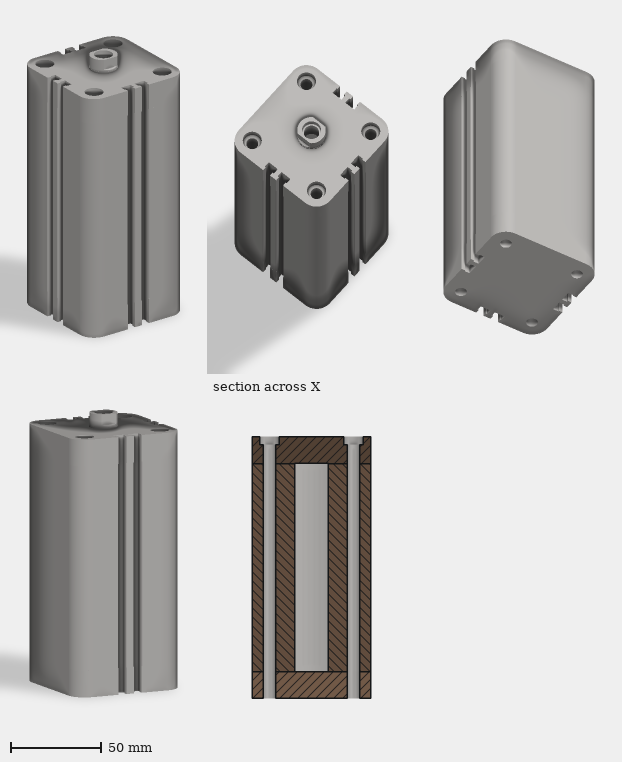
import cadquery as cq

side = 66.0
total_height = 153.0
housing_height = 144.9
cap_height = 15.0
corner_radius = 9.6
barrel_height = housing_height - 2 * cap_height
top_cap_base = housing_height - cap_height

slot_depth = 5.7
lip_thickness = 2.3
mouth_half_width = 7.2
floor_half_width = 7.8
rib_head_half_width = 2.3
rib_neck_half_width = 1.4
barrel_mouth_chamfer = 0.38
slotted_side_angles = (-90, 0, 90)

bolt_spacing = 46.5
bolt_hole_diameter = 6.6
bolt_recess_diameter = 10.5
bolt_recess_depth = 4.6

bore_diameter = 50.0
rod_diameter = 16.0
rod_tip_diameter = 15.8
rod_shoulder_height = 0.9
rod_hole_diameter = 8.5
rod_hole_depth = 15.3
rod_recess_diameter = 10.5
rod_recess_depth = 3.7

flat_spacing = 13.0
flat_height = 5.8
runout_height = 0.5


def cylinder(diameter, bottom_z, top_z):
    base = cq.Workplane("XY", origin=(0, 0, bottom_z))
    return base.circle(diameter / 2).extrude(top_z - bottom_z)


def bolt_cylinders(diameter, bottom_z, top_z):
    """Four cylinders on the corner bolt axes."""
    return (
        cq.Workplane("XY", origin=(0, 0, bottom_z))
        .rect(bolt_spacing, bolt_spacing, forConstruction=True)
        .vertices()
        .circle(diameter / 2)
        .extrude(top_z - bottom_z)
    )


def slot(bottom_z, height):
    """One undercut slot on the right half of the -Y side."""
    face = -side / 2
    lip = face + lip_thickness
    floor = face + slot_depth
    outline = [
        (rib_head_half_width, face),
        (mouth_half_width, face),
        (mouth_half_width, lip),
        (floor_half_width, lip),
        (floor_half_width, floor),
        (rib_neck_half_width, floor),
        (rib_neck_half_width, lip),
        (rib_head_half_width, lip),
    ]
    return cq.Workplane("XY", origin=(0, 0, bottom_z)).polyline(outline).close().extrude(height)


def mouth_chamfer(bottom_z, height):
    """Wedge that bevels both mouth edges of one slot."""
    face = -side / 2
    bevel = barrel_mouth_chamfer
    outline = [
        (rib_head_half_width - bevel, face),
        (mouth_half_width + bevel, face),
        (mouth_half_width, face + bevel),
        (rib_head_half_width, face + bevel),
    ]
    return cq.Workplane("XY", origin=(0, 0, bottom_z)).polyline(outline).close().extrude(height)


def cut_on_slotted_sides(block, cutter):
    """Cut the cutter and its mirror copy into every slotted side."""
    for half in (cutter, cutter.mirror("YZ")):
        for angle in slotted_side_angles:
            block = block.cut(half.rotate((0, 0, 0), (0, 0, 1), angle))
    return block


def make_section(bottom_z, height):
    """Slotted square section with rounded corners and bolt holes."""
    block = (
        cq.Workplane("XY", origin=(0, 0, bottom_z))
        .rect(side, side)
        .extrude(height)
        .edges("|Z")
        .fillet(corner_radius)
    )
    block = cut_on_slotted_sides(block, slot(bottom_z, height))
    return block.cut(bolt_cylinders(bolt_hole_diameter, bottom_z, bottom_z + height))


def make_bottom_cap():
    return make_section(0, cap_height)


def make_barrel():
    barrel = make_section(cap_height, barrel_height)
    barrel = cut_on_slotted_sides(barrel, mouth_chamfer(cap_height, barrel_height))
    return barrel.cut(cylinder(bore_diameter, cap_height, top_cap_base))


def make_top_cap():
    cap = make_section(top_cap_base, cap_height)
    recess_floor = housing_height - bolt_recess_depth
    cap = cap.cut(bolt_cylinders(bolt_recess_diameter, recess_floor, housing_height))
    return cap.cut(cylinder(rod_diameter, top_cap_base, housing_height))


def rod_flat_cutter():
    """Cutter for the wrench flat on the +X side of the rod."""
    flat_bottom = total_height - flat_height
    rod_radius = rod_tip_diameter / 2
    outline = [
        (flat_spacing / 2, total_height),
        (flat_spacing / 2, flat_bottom),
        (rod_radius, flat_bottom - runout_height),
        (rod_radius, total_height),
    ]
    return cq.Workplane("XZ").polyline(outline).close().extrude(rod_radius, both=True)


def make_rod():
    shoulder_z = housing_height + rod_shoulder_height
    rod = cylinder(rod_diameter, top_cap_base, shoulder_z)
    rod = rod.union(cylinder(rod_tip_diameter, shoulder_z, total_height))
    rod = rod.cut(cylinder(rod_hole_diameter, total_height - rod_hole_depth, total_height))
    rod = rod.cut(cylinder(rod_recess_diameter, total_height - rod_recess_depth, total_height))
    flat = rod_flat_cutter()
    return rod.cut(flat).cut(flat.mirror("YZ"))


bottom_cap = make_bottom_cap()
barrel = make_barrel()
top_cap = make_top_cap()
rod = make_rod()

result = cq.Compound.makeCompound([bottom_cap.val(), barrel.val(), top_cap.val(), rod.val()])